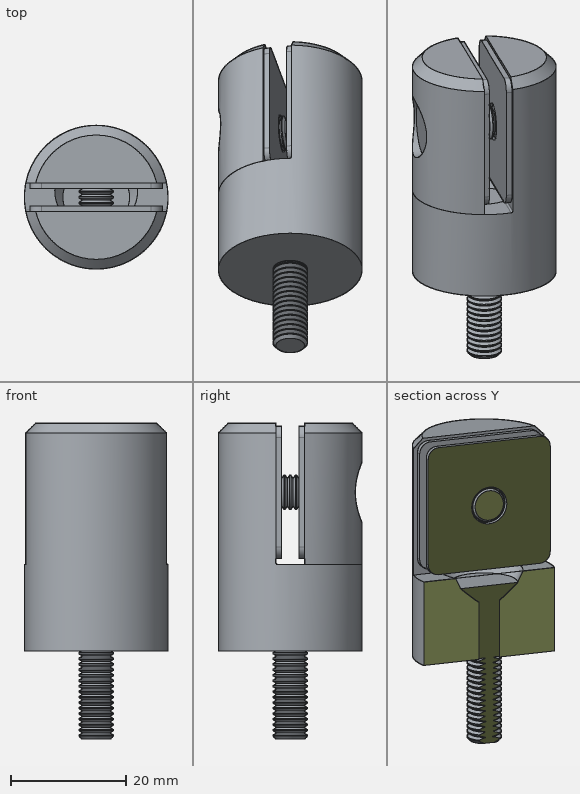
import cadquery as cq

barrel_radius = 12.5
barrel_height = 39.6
top_chamfer = 1.7
floor_height = 15.1
slot_half_width = 2.5
floor_fillet = 0.3

pad_size = 23.0
pad_thickness = 1.0
pad_corner_radius = 2.0
pad_floor_gap = 1.0
pad_bottom = floor_height + pad_floor_gap
pad_inner_face = slot_half_width - pad_thickness
pad_middle = pad_bottom + pad_size / 2

thread_radius = 3.0
thread_root_radius = 2.4
thread_tip_radius = 2.48
crest_half_width = 0.1
clearance_radius = 3.25

clamp_height = pad_middle
clamp_tip = -8.5
clamp_pitch = 1.0
clamp_ridge_count = 10
clamp_thread_end = clamp_tip + clamp_pitch * clamp_ridge_count
clamp_head_seat = 5.0
clamp_head_radius = 5.0
clamp_head_height = 6.0
counterbore_radius = 10.58 / 2

overall_height = 54.88
stud_length = overall_height - barrel_height
stud_pitch = 0.953
stud_ridge_count = 16
stud_tip_to_first_ridge = 0.63
stud_thread_end = stud_tip_to_first_ridge - stud_length + (stud_ridge_count - 0.5) * stud_pitch
stud_head_radius = 11.57 / 2
stud_head_recess = 1.9
stud_head_top = floor_height - stud_head_recess
stud_head_bottom = stud_head_top - (stud_head_radius - thread_radius)

mouth_radius = 7.2
mouth_offset = 1.2


def along_y(y):
    """Workplane at the given Y, on the clamp axis, facing +Y."""
    return cq.Workplane(cq.Plane((0, y, clamp_height), (1, 0, 0), (0, 1, 0)))


def barrel():
    blank = cq.Workplane("XY").circle(barrel_radius).extrude(barrel_height)
    return blank.faces(">Z").chamfer(top_chamfer)


def upper_region(y_start):
    """Space above the slot floor, from the given Y to beyond the back of the barrel."""
    depth = 2 * barrel_radius
    return cq.Workplane("XY").box(
        2 * depth, depth, barrel_height, centered=(True, False, False)
    ).translate((0, y_start, floor_height))


def screw_profile(tip, first_ridge, pitch, ridge_count):
    """Radius and axial position points from the tip up to the groove after the last ridge."""
    points = [(0, tip), (thread_tip_radius, tip)]
    for ridge in range(ridge_count):
        middle = first_ridge + ridge * pitch
        points += [
            (thread_radius, middle - crest_half_width),
            (thread_radius, middle + crest_half_width),
            (thread_root_radius, middle + pitch / 2),
        ]
    return points


def make_screw(points):
    """Turn a half profile about the Z axis."""
    return cq.Workplane("XZ").polyline(points).close().revolve(360, (0, 0), (0, 1))


def make_stud():
    first_ridge = stud_tip_to_first_ridge - stud_length
    points = screw_profile(-stud_length, first_ridge, stud_pitch, stud_ridge_count)
    points += [
        (thread_radius, stud_thread_end),
        (thread_radius, stud_head_bottom),
        (stud_head_radius, stud_head_top),
        (0, stud_head_top),
    ]
    return make_screw(points)


def make_clamp_screw():
    first_ridge = clamp_tip + clamp_pitch / 2
    head_top = clamp_head_seat + clamp_head_height
    points = screw_profile(clamp_tip, first_ridge, clamp_pitch, clamp_ridge_count)
    points += [
        (thread_radius, clamp_thread_end),
        (thread_radius, clamp_head_seat),
        (clamp_head_radius, clamp_head_seat),
        (clamp_head_radius, head_top),
        (0, head_top),
    ]
    upright = make_screw(points)
    return upright.rotate((0, 0, 0), (1, 0, 0), -90).translate((0, 0, clamp_height))


def make_base():
    slot = upper_region(-slot_half_width).edges("<Y and <Z").fillet(floor_fillet)
    clamp_hole = along_y(clamp_tip).circle(thread_radius).extrude(-slot_half_width - clamp_tip)
    stud_hole = cq.Workplane("XY").circle(thread_radius).extrude(stud_head_bottom)
    head_seat = (
        cq.Workplane("XY", origin=(0, 0, stud_head_bottom)).circle(thread_radius)
        .workplane(offset=stud_head_top - stud_head_bottom).circle(stud_head_radius).loft()
    )
    mouth = (
        cq.Workplane("XY", origin=(0, 0, stud_head_top)).circle(stud_head_radius)
        .workplane(offset=stud_head_recess).center(0, mouth_offset).circle(mouth_radius).loft()
    )
    return barrel().cut(slot).cut(clamp_hole).cut(stud_hole).cut(head_seat).cut(mouth)


def make_jaw():
    clearance_hole = along_y(0).circle(clearance_radius).extrude(barrel_radius)
    counterbore = along_y(clamp_head_seat).circle(counterbore_radius).extrude(barrel_radius)
    return barrel().intersect(upper_region(slot_half_width)).cut(clearance_hole).cut(counterbore)


def make_pad(y_start):
    pad = cq.Workplane("XY").box(pad_size, pad_thickness, pad_size, centered=(True, False, True))
    pad = pad.edges("|Y").fillet(pad_corner_radius).translate((0, y_start, pad_middle))
    return pad.cut(along_y(y_start).circle(clearance_radius).extrude(pad_thickness))


base = make_base()
jaw = make_jaw()
pads = [make_pad(y_start) for y_start in (-slot_half_width, pad_inner_face)]
clamp_screw = make_clamp_screw()
stud = make_stud()

result = cq.Compound.makeCompound(
    [base.val(), jaw.val(), *[pad.val() for pad in pads], clamp_screw.val(), stud.val()]
)